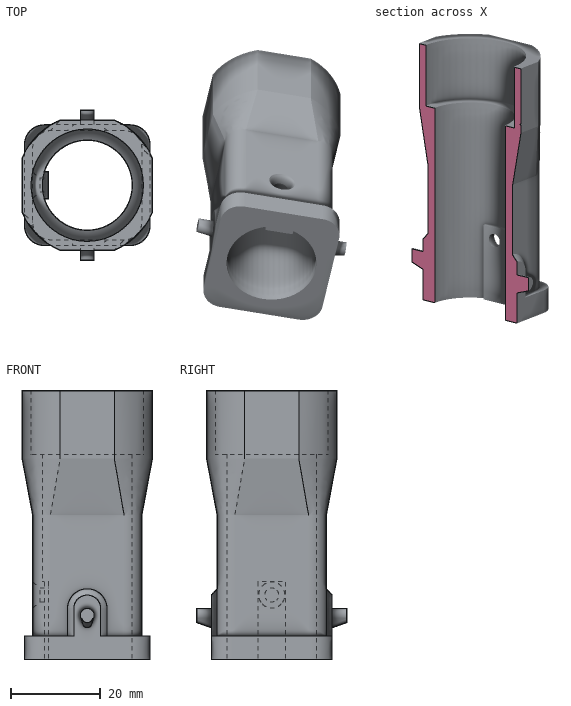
import cadquery as cq
import math

diagonal = math.sqrt(0.5)

total_height = 59.85
flange_x = 28.0
flange_y = 26.9
flange_height = 5.3
flange_radius = 4.5

body_width = 24.3
body_radius = 3.95
body_top = 32.15

hood_width = 29.0
hood_radius = 15.7
hood_bottom = 44.75

bore_diameter = 20.0
mouth_diameter = 25.0
mouth_depth = 14.2

pad_root_radius = 4.55
pad_face_radius = 2.98
pad_center_z = 11.4
pad_face_y = flange_y / 2
pad_embed = 0.15
pad_root_y = body_width / 2 - pad_embed

pin_span = 33.4
pin_diameter = 3.1
pin_z = 9.87
web_root_radius = 0.99
web_root_drop = 1.76
web_tip_radius = 1.27
web_tip_drop = 0.33
pin_radius = pin_diameter / 2
web_sine = (pin_radius - web_root_radius) / web_root_drop
web_cosine = math.sqrt(1 - web_sine**2)
seam_x = pin_radius * web_cosine
seam_z = pin_z - pin_radius * web_sine

screw_z = 14.4
screw_diameter = 3.1
sink_diameter = 5.8
sink_depth = 1.65
boss_width = 6.1
boss_face_x = -8.65


def corner_arc_square(plane, half_width, half_flat, corner_mid):
    """Square outline whose corners are arcs through (corner_mid, corner_mid)."""
    return (
        plane.moveTo(-half_flat, -half_width)
        .lineTo(half_flat, -half_width)
        .threePointArc((corner_mid, -corner_mid), (half_width, -half_flat))
        .lineTo(half_width, half_flat)
        .threePointArc((corner_mid, corner_mid), (half_flat, half_width))
        .lineTo(-half_flat, half_width)
        .threePointArc((-corner_mid, corner_mid), (-half_width, half_flat))
        .lineTo(-half_width, -half_flat)
        .threePointArc((-corner_mid, -corner_mid), (-half_flat, -half_width))
        .close()
    )


def add_body_outline(plane):
    """Square with tangent corner arcs."""
    half_width = body_width / 2
    half_flat = half_width - body_radius
    return corner_arc_square(plane, half_width, half_flat, half_flat + body_radius * diagonal)


def add_hood_outline(plane):
    """Square whose corners lie on the hood circle."""
    half_width = hood_width / 2
    half_flat = math.sqrt(hood_radius**2 - half_width**2)
    return corner_arc_square(plane, half_width, half_flat, hood_radius * diagonal)


def make_shell():
    """Solid flange, body, flared transition and hood."""
    flange = (
        cq.Workplane("XY")
        .rect(flange_x, flange_y)
        .extrude(flange_height)
        .edges("|Z")
        .fillet(flange_radius)
    )
    body = add_body_outline(cq.Workplane("XY")).extrude(body_top)
    flare_base = add_body_outline(cq.Workplane("XY").workplane(offset=body_top))
    flare = add_hood_outline(flare_base.workplane(offset=hood_bottom - body_top)).loft(ruled=True)
    hood_base = cq.Workplane("XY").workplane(offset=hood_bottom)
    hood = add_hood_outline(hood_base).extrude(total_height - hood_bottom)
    return flange.union(body).union(flare).union(hood)


def make_bore():
    """Through bore with a wider mouth; a flat boss stays on the -X wall."""
    bore = cq.Workplane("XY").circle(bore_diameter / 2).extrude(total_height)
    boss_depth = bore_diameter / 2 + boss_face_x
    boss = (
        cq.Workplane("XY")
        .center(boss_face_x - boss_depth / 2, 0)
        .rect(boss_depth, boss_width)
        .extrude(screw_z + boss_width / 2)
    )
    mouth = (
        cq.Workplane("XY")
        .workplane(offset=total_height - mouth_depth)
        .circle(mouth_diameter / 2)
        .extrude(mouth_depth)
    )
    return bore.cut(boss).union(mouth)


def make_screw_hole():
    """Countersunk hole through the -X wall and its boss."""
    outer_x = -body_width / 2
    axis = cq.Vector(1, 0, 0)
    start = cq.Vector(outer_x, 0, screw_z)
    hole = cq.Solid.makeCylinder(screw_diameter / 2, boss_face_x - outer_x, start, axis)
    sink = cq.Solid.makeCone(sink_diameter / 2, screw_diameter / 2, sink_depth, start, axis)
    return cq.Workplane(hole).union(cq.Workplane(sink))


def add_pad_outline(plane, radius):
    """Upright tab with a round top, standing on the base plane."""
    return (
        plane.moveTo(-radius, 0)
        .lineTo(-radius, pad_center_z)
        .threePointArc((0, pad_center_z + radius), (radius, pad_center_z))
        .lineTo(radius, 0)
        .close()
    )


def add_web_outline(plane, radius, drop):
    """Web section: straight sides running down from the pin to a round lower edge."""
    low_x = radius * web_cosine
    low_z = pin_z - drop - radius * web_sine
    return (
        plane.moveTo(-seam_x, seam_z)
        .lineTo(-low_x, low_z)
        .threePointArc((0, pin_z - drop - radius), (low_x, low_z))
        .lineTo(seam_x, seam_z)
        .close()
    )


def make_lock():
    """Sloped pad, pin and web on the -Y side."""
    pad_depth = pad_face_y - pad_root_y
    pad_base = add_pad_outline(cq.Workplane("XZ").workplane(offset=pad_root_y), pad_root_radius)
    pad = add_pad_outline(pad_base.workplane(offset=pad_depth), pad_face_radius).loft(ruled=True)
    pin = (
        cq.Workplane("XZ")
        .workplane(offset=pad_root_y)
        .moveTo(-seam_x, seam_z)
        .threePointArc((0, pin_z + pin_radius), (seam_x, seam_z))
        .close()
        .extrude(pin_span / 2 - pad_root_y)
    )
    web_base = add_web_outline(
        cq.Workplane("XZ").workplane(offset=pad_face_y), web_root_radius, web_root_drop
    )
    web = add_web_outline(
        web_base.workplane(offset=pin_span / 2 - pad_face_y), web_tip_radius, web_tip_drop
    ).loft(ruled=True)
    return pad.union(pin).union(web)


lock = make_lock()
result = make_shell().union(lock).union(lock.mirror("XZ"))
result = result.cut(make_bore()).cut(make_screw_hole())